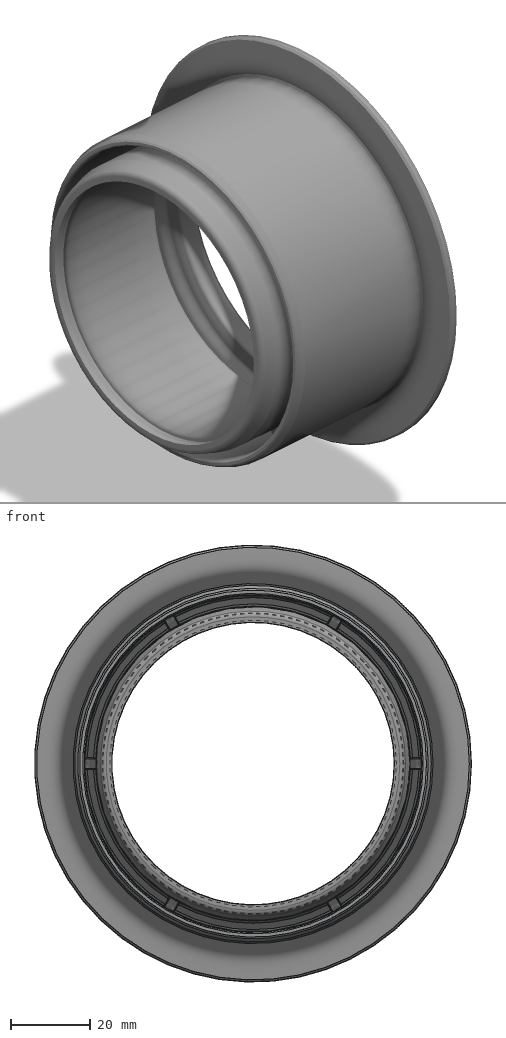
import cadquery as cq

draft_step = 0.17

flange_radius = 55.2
rim_thickness = 2.4
rim_chamfer = 0.5
flange_root_thickness = 2.8
root_chamfer = 0.4

sleeve_radius = 45.1
sleeve_front_y = -46.7
sleeve_bore_radius = 42.5
sleeve_bore_front_radius = sleeve_bore_radius + draft_step
sleeve_mouth_chamfer = 0.3
nose_length = 1.8
nose_depth = 0.8
nose_chamfer = 0.4

lip_radius = 38.1
lip_front_y = -6.9
lip_outer_drop = 0.4
lip_corner_fillet = 0.9
lip_edge_fillet = 1.0
lip_back_radius = 39.7
lip_back_chamfer_length = 1.7

spigot_front_radius = 39.7
spigot_radius = spigot_front_radius + draft_step
spigot_tip_y = -53.5
spigot_taper_start_y = -48.4
spigot_taper_end_y = -52.0
spigot_taper_end_radius = 38.6
spigot_tip_round = 1.4
spigot_back_y = -15.5
bore_back_radius = 38.1
spigot_bore_radius = bore_back_radius - draft_step
bore_back_chamfer_length = 0.7

mouth_radius = 35.7
mouth_end_y = -52.0
stop_back_radius = 36.2
stop_back_y = -49.8

web_thickness = 2.8
web_inner_rise = 0.2
web_fillet = 0.5
rib_count = 6
rib_front_width = 2.4
rib_root_width = 3.1
rib_front_y = -30.9
joint_overlap = 0.7


def revolve_about_y(outline):
    return outline.close().revolve(360, (0, 0, 0), (0, 1, 0))


def make_sleeve():
    root_y = -flange_root_thickness
    nose_radius = sleeve_radius - nose_depth
    nose_end_y = sleeve_front_y + nose_chamfer
    lip_corner_y = lip_front_y - lip_outer_drop
    outline = (
        cq.Workplane("XY")
        .moveTo(lip_back_radius, 0)
        .lineTo(flange_radius - rim_chamfer, 0)
        .lineTo(flange_radius, -rim_chamfer)
        .lineTo(flange_radius, rim_chamfer - rim_thickness)
        .lineTo(flange_radius - rim_chamfer, -rim_thickness)
        .lineTo(sleeve_radius + root_chamfer, root_y)
        .lineTo(sleeve_radius, root_y - root_chamfer)
        .lineTo(sleeve_radius, nose_end_y + nose_length)
        .lineTo(nose_radius, nose_end_y)
        .lineTo(nose_radius - nose_chamfer, sleeve_front_y)
        .lineTo(sleeve_bore_front_radius + sleeve_mouth_chamfer, sleeve_front_y)
        .lineTo(sleeve_bore_front_radius, sleeve_front_y + sleeve_mouth_chamfer)
        .lineTo(sleeve_bore_radius, spigot_back_y)
        .lineTo(sleeve_bore_radius, lip_corner_y - lip_corner_fillet)
        .radiusArc((sleeve_bore_radius - lip_corner_fillet, lip_corner_y), -lip_corner_fillet)
        .lineTo(lip_radius + lip_edge_fillet, lip_front_y)
        .radiusArc((lip_radius, lip_front_y + lip_edge_fillet), lip_edge_fillet)
        .lineTo(lip_radius, -lip_back_chamfer_length)
    )
    return revolve_about_y(outline)


def make_spigot():
    outline = (
        cq.Workplane("XY")
        .moveTo(bore_back_radius, spigot_back_y)
        .lineTo(spigot_radius, spigot_back_y)
        .lineTo(spigot_front_radius, spigot_taper_start_y)
        .lineTo(spigot_taper_end_radius, spigot_taper_end_y)
        .radiusArc((spigot_taper_end_radius - spigot_tip_round, spigot_tip_y), spigot_tip_round)
        .lineTo(mouth_radius, spigot_tip_y)
        .lineTo(mouth_radius, mouth_end_y)
        .lineTo(stop_back_radius, stop_back_y)
        .lineTo(spigot_bore_radius, stop_back_y)
        .lineTo(spigot_bore_radius, spigot_back_y - bore_back_chamfer_length)
    )
    return revolve_about_y(outline)


def make_web():
    inner = spigot_radius
    outer = sleeve_bore_radius
    outer_floor_y = spigot_back_y - web_thickness
    inner_floor_y = outer_floor_y - web_inner_rise
    outline = (
        cq.Workplane("XY")
        .moveTo(inner - joint_overlap, spigot_back_y)
        .lineTo(inner - joint_overlap, inner_floor_y - web_fillet)
        .lineTo(inner, inner_floor_y - web_fillet)
        .radiusArc((inner + web_fillet, inner_floor_y), -web_fillet)
        .lineTo(outer - web_fillet, outer_floor_y)
        .radiusArc((outer, outer_floor_y - web_fillet), -web_fillet)
        .lineTo(outer + joint_overlap, outer_floor_y - web_fillet)
        .lineTo(outer + joint_overlap, spigot_back_y)
    )
    return revolve_about_y(outline)


def make_rib(angle):
    inner_end = spigot_radius - joint_overlap
    outer_end = sleeve_bore_radius + joint_overlap
    half_root = rib_root_width / 2
    half_front = rib_front_width / 2
    section = [
        (spigot_back_y, half_root),
        (rib_front_y, half_front),
        (rib_front_y, -half_front),
        (spigot_back_y, -half_root),
    ]
    return (
        cq.Workplane("YZ", origin=(inner_end, 0, 0))
        .polyline(section)
        .close()
        .extrude(outer_end - inner_end)
        .rotate((0, 0, 0), (0, 1, 0), angle)
    )


result = make_sleeve().union(make_spigot()).union(make_web())
for index in range(rib_count):
    result = result.union(make_rib(index * 360 / rib_count))